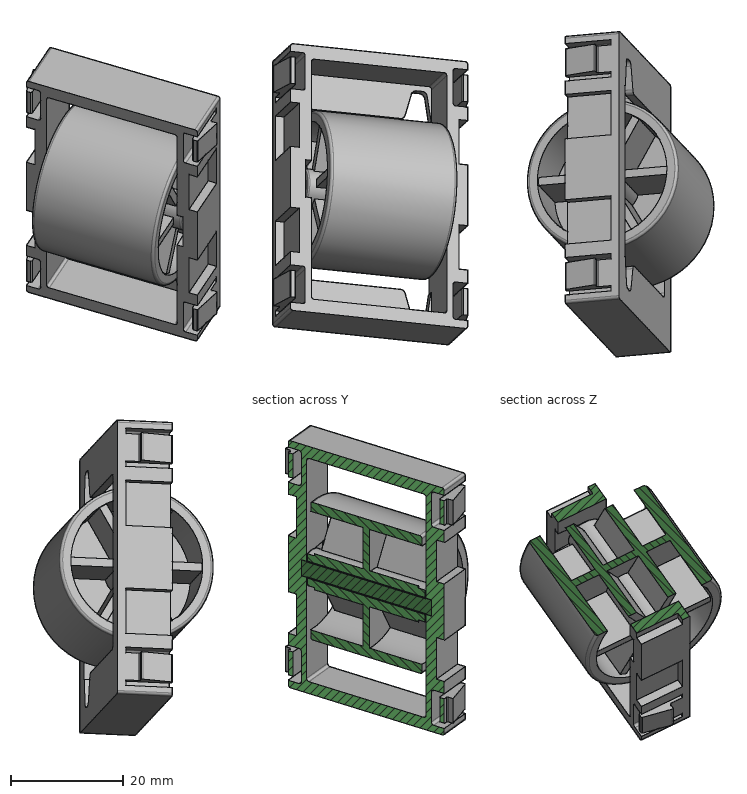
import cadquery as cq
import math

FRAME_HEIGHT = 50.0
FRAME_WIDTH = 33.3
FRAME_FRONT = -5.5
FRAME_BACK = 4.5
OPENING_WIDTH = 25.4
END_WALL = 2.5
CORNER_RADIUS = 0.5
FRAME_DEPTH = FRAME_BACK - FRAME_FRONT
HALF_WIDTH = FRAME_WIDTH / 2
HALF_OPENING = OPENING_WIDTH / 2
OPENING_HEIGHT = FRAME_HEIGHT - 2 * END_WALL

PLATE_THICKNESS = 1.5
PLATE_FRONT = FRAME_BACK - PLATE_THICKNESS
PLATE_EDGE_Z = 16.0
PLATE_RADIUS = 1.0
NOTCH_TOP_Z = 21.5
NOTCH_TOP_LEFT = 9.15
NOTCH_TOP_RIGHT = 11.75
NOTCH_EDGE_LEFT = 7.55
NOTCH_EDGE_RIGHT = 12.6

SIDE_POCKET_DEPTH = 1.65
SIDE_POCKET_LOW_Z = 5.7
SIDE_POCKET_HIGH_Z = 14.0

CLIP_POCKET_DEPTH = 2.75
CLIP_POCKET_LOW_Z = 16.5
CLIP_POCKET_HIGH_Z = 23.5
CLIP_HEIGHT = 5.0
CLIP_CENTRE_Z = (CLIP_POCKET_LOW_Z + CLIP_POCKET_HIGH_Z) / 2
ARM_THICKNESS = 1.05
ARM_NOSE = 0.25
HOOK_REACH = 1.2
HOOK_TIP_REACH = 0.05
HOOK_NOSE = 0.15
HOOK_CREST_Y = 0.1
HOOK_LEDGE_Y = 0.4
HOOK_ROOT = 0.2

AXLE_DIAMETER = 4.0
AXLE_LENGTH = 27.6
SLOT_MOUTH_WIDTH = 7.0
SLOT_TAPER_ANGLE = 5.0
SLOT_FLOOR_Y = 0.5
SLOT_FLOOR_RADIUS = 0.2

WHEEL_DIAMETER = 28.0
WHEEL_WIDTH = 23.8
WHEEL_EDGE_RADIUS = 0.5
RIM_INNER_DIAMETER = 24.0
HUB_DIAMETER = 7.0
HUB_LENGTH = 25.2
HUB_EDGE_RADIUS = 0.25
BORE_DIAMETER = 4.2
WEB_THICKNESS = 1.5
SPOKE_COUNT = 6
SPOKE_THICKNESS = 1.5
SPOKE_WIDTH = 22.2
SPOKE_RIM_OVERLAP = 0.05


def block(x_range, y_range, z_range):
    """Box spanning the given ranges."""
    size = [high - low for low, high in (x_range, y_range, z_range)]
    corner = (x_range[0], y_range[0], z_range[0])
    return cq.Workplane("XY").box(*size, centered=False).translate(corner)


def cylinder_along_x(diameter, length):
    """Cylinder on the axle line, centred on the origin."""
    return cq.Workplane("YZ", origin=(-length / 2, 0, 0)).circle(diameter / 2).extrude(length)


def rounded_plate(width, height):
    """Plate as deep as the frame, with the corners of its XZ outline rounded."""
    plate = cq.Workplane("XY").box(width, FRAME_DEPTH, height).edges("|Y").fillet(CORNER_RADIUS)
    return plate.translate((0, (FRAME_FRONT + FRAME_BACK) / 2, 0))


def four_ways(shape):
    """A shape at the +X +Z corner, with its mirror images at the other three corners."""
    pair = [shape, shape.mirror("YZ")]
    return pair + [copy.mirror("XY") for copy in pair]


def back_plate():
    """Upper back plate, with the notch beside the +X wall."""
    outline = cq.Workplane("XZ", origin=(0, PLATE_FRONT, 0)).polyline([
        (-HALF_OPENING, OPENING_HEIGHT / 2),
        (-HALF_OPENING, PLATE_EDGE_Z),
        (NOTCH_EDGE_LEFT, PLATE_EDGE_Z),
        (NOTCH_TOP_LEFT, NOTCH_TOP_Z),
        (NOTCH_TOP_RIGHT, NOTCH_TOP_Z),
        (NOTCH_EDGE_RIGHT, PLATE_EDGE_Z),
        (HALF_OPENING, PLATE_EDGE_Z),
        (HALF_OPENING, OPENING_HEIGHT / 2),
    ])
    plate = outline.close().extrude(-PLATE_THICKNESS)
    rounded_corners = [
        (NOTCH_EDGE_LEFT, PLATE_EDGE_Z),
        (NOTCH_TOP_LEFT, NOTCH_TOP_Z),
        (NOTCH_TOP_RIGHT, NOTCH_TOP_Z),
    ]
    for x, z in rounded_corners:
        corner_edge = cq.selectors.NearestToPointSelector((x, PLATE_FRONT + PLATE_THICKNESS / 2, z))
        plate = plate.edges("|Y").edges(corner_edge).fillet(PLATE_RADIUS)
    return plate.union(plate_root())


def plate_root():
    """Concave fillet between the free edge of the upper back plate and the -X wall."""
    outline = cq.Workplane("XZ", origin=(-HALF_OPENING, PLATE_FRONT, PLATE_EDGE_Z))
    outline = outline.lineTo(PLATE_RADIUS, 0).radiusArc((0, -PLATE_RADIUS), -PLATE_RADIUS)
    return outline.close().extrude(-PLATE_THICKNESS)


def side_pocket():
    return block(
        (HALF_WIDTH - SIDE_POCKET_DEPTH, HALF_WIDTH),
        (FRAME_FRONT, PLATE_FRONT),
        (SIDE_POCKET_LOW_Z, SIDE_POCKET_HIGH_Z),
    )


def clip_pocket():
    pocket = block(
        (HALF_WIDTH - CLIP_POCKET_DEPTH, HALF_WIDTH),
        (FRAME_FRONT, PLATE_FRONT),
        (CLIP_POCKET_LOW_Z, CLIP_POCKET_HIGH_Z),
    )
    return pocket.edges("|Y and <X").fillet(CORNER_RADIUS)


def clip():
    """Spring arm flush with the outer side, carrying a wedge-shaped hook."""
    inner = HALF_WIDTH - ARM_THICKNESS
    tip = HALF_WIDTH + HOOK_TIP_REACH
    crest = HALF_WIDTH + HOOK_REACH
    outline = cq.Workplane("XY", origin=(0, 0, CLIP_CENTRE_Z)).polyline([
        (inner, PLATE_FRONT),
        (inner, FRAME_FRONT + ARM_NOSE),
        (inner + ARM_NOSE, FRAME_FRONT),
        (tip - HOOK_NOSE, FRAME_FRONT),
        (tip, FRAME_FRONT + HOOK_NOSE),
        (crest, HOOK_CREST_Y),
        (crest, HOOK_LEDGE_Y),
        (HALF_WIDTH + HOOK_ROOT, HOOK_LEDGE_Y),
        (HALF_WIDTH, HOOK_LEDGE_Y + HOOK_ROOT),
        (HALF_WIDTH, PLATE_FRONT),
    ])
    return outline.close().extrude(CLIP_HEIGHT / 2, both=True)


def axle_slots():
    """Tapered slots for both axle ends, with a groove that fits the axle in their floor."""
    mouth_half = SLOT_MOUTH_WIDTH / 2
    slot_depth = SLOT_FLOOR_Y - FRAME_FRONT
    floor_half = mouth_half - slot_depth * math.tan(math.radians(SLOT_TAPER_ANGLE))
    outline = cq.Workplane("YZ", origin=(-AXLE_LENGTH / 2, 0, 0)).polyline([
        (FRAME_FRONT, -mouth_half),
        (SLOT_FLOOR_Y, -floor_half),
        (SLOT_FLOOR_Y, floor_half),
        (FRAME_FRONT, mouth_half),
    ])
    slots = outline.close().extrude(AXLE_LENGTH).edges("|X and >Y").fillet(SLOT_FLOOR_RADIUS)
    return slots.union(cylinder_along_x(AXLE_DIAMETER, AXLE_LENGTH))


def make_frame():
    frame = rounded_plate(FRAME_WIDTH, FRAME_HEIGHT).cut(rounded_plate(OPENING_WIDTH, OPENING_HEIGHT))
    upper_plate = back_plate()
    frame = frame.union(upper_plate).union(upper_plate.mirror("XY"))
    for pocket in four_ways(side_pocket()) + four_ways(clip_pocket()):
        frame = frame.cut(pocket)
    for spring_clip in four_ways(clip()):
        frame = frame.union(spring_clip)
    return frame.cut(axle_slots())


def make_wheel():
    rim = cylinder_along_x(WHEEL_DIAMETER, WHEEL_WIDTH).edges().fillet(WHEEL_EDGE_RADIUS)
    rim = rim.cut(cylinder_along_x(RIM_INNER_DIAMETER, WHEEL_WIDTH))
    web = cylinder_along_x(RIM_INNER_DIAMETER, WEB_THICKNESS)
    hub = cylinder_along_x(HUB_DIAMETER, HUB_LENGTH).edges().fillet(HUB_EDGE_RADIUS)
    wheel = rim.union(web).union(hub)
    spoke_reach = RIM_INNER_DIAMETER / 2 + SPOKE_RIM_OVERLAP
    spoke = block(
        (-SPOKE_WIDTH / 2, SPOKE_WIDTH / 2),
        (0, spoke_reach),
        (-SPOKE_THICKNESS / 2, SPOKE_THICKNESS / 2),
    )
    for index in range(SPOKE_COUNT):
        wheel = wheel.union(spoke.rotate((0, 0, 0), (1, 0, 0), index * 360 / SPOKE_COUNT))
    return wheel.cut(cylinder_along_x(BORE_DIAMETER, HUB_LENGTH))


def make_axle():
    return cylinder_along_x(AXLE_DIAMETER, AXLE_LENGTH)


frame = make_frame().solids()
wheel = make_wheel().solids()
axle = make_axle().solids()
result = cq.Compound.makeCompound([frame.val(), wheel.val(), axle.val()])